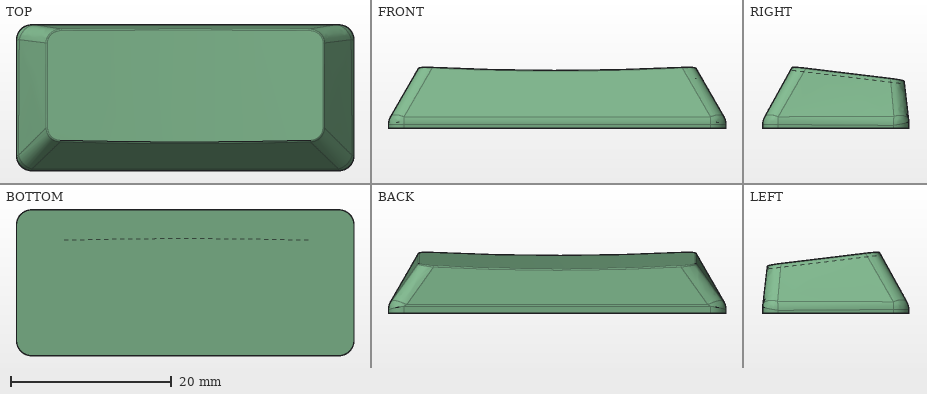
import cadquery as cq
import math

length = 41.95
width = 18.17
skirt_height = 1.0
rounding_radius = 1.95

side_inset = 3.78
front_inset = 3.75
back_inset = 0.6
front_height = 7.75
back_height = 6.1
top_edge_radius = 0.2

dish_half_width = 18.05
dish_depth = 0.55
cutter_reach = length

half_length = length / 2
half_width = width / 2
top_front = -half_width + front_inset
top_back = half_width - back_inset
top_slope = math.atan2(front_height - back_height, top_back - top_front)


def rectangle(half_span, front, back, front_z, back_z):
    """Closed rectangular wire, tilted when its front and back heights differ."""
    return cq.Wire.makePolygon(
        [
            cq.Vector(-half_span, front, front_z),
            cq.Vector(half_span, front, front_z),
            cq.Vector(half_span, back, back_z),
            cq.Vector(-half_span, back, back_z),
        ],
        close=True,
    )


def rounded_block():
    """Vertical skirt below four leaning walls, with every corner and the seam rounded."""
    seam = rectangle(half_length, -half_width, half_width, skirt_height, skirt_height)
    top = rectangle(half_length - side_inset, top_front, top_back, front_height, back_height)
    walls = cq.Solid.makeLoft([seam, top], ruled=True)
    skirt = cq.Workplane("XY").rect(length, width).extrude(skirt_height)
    block = skirt.union(cq.Workplane(walls))
    bottom_and_top_edges = block.faces("<Z or >Z").edges().vals()
    rounded_edges = [edge for edge in block.edges().vals() if edge not in bottom_and_top_edges]
    return block.newObject(rounded_edges).fillet(rounding_radius)


def dish_cutter():
    """Everything above a cylindrical dish whose axis follows the slope of the top."""
    across_slope = cq.Plane(
        origin=(0, top_back, back_height),
        xDir=(1, 0, 0),
        normal=(0, -math.cos(top_slope), math.sin(top_slope)),
    )
    return (
        cq.Workplane(across_slope)
        .moveTo(-dish_half_width, 0)
        .threePointArc((0, -dish_depth), (dish_half_width, 0))
        .lineTo(dish_half_width, cutter_reach)
        .lineTo(-dish_half_width, cutter_reach)
        .close()
        .extrude(cutter_reach, both=True)
    )


keycap = rounded_block().cut(dish_cutter())
result = keycap.faces(">Z").edges().fillet(top_edge_radius)